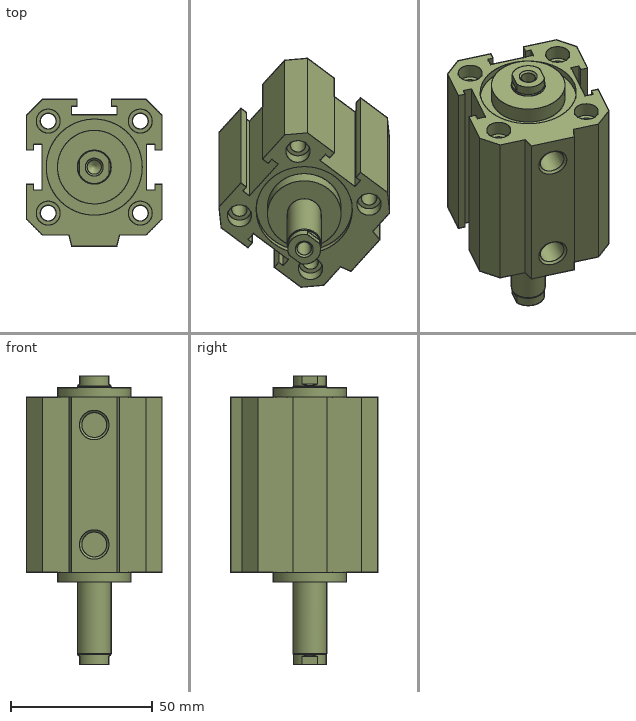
import cadquery as cq
import math

overall_length = 102.0
body_bottom = -18.5
body_length = 62.0
body_top = body_bottom + body_length
body_middle = body_bottom + body_length / 2

body_width = 48.0
corner_chamfer = 5.7
slot_mouth_width = 12.0
slot_inner_width = 16.0
slot_lip = 2.5
slot_depth = 5.5
rib_height = 4.0
rib_root_width = 18.0
rib_tip_width = 16.0

boss_diameter = 26.0
boss_height = 3.4
recess_diameter = 34.0
recess_depth = 2.7

mount_spacing = 32.5
mount_diameter = 5.5
counterbore_diameter = 8.5
counterbore_depth = 5.4

port_diameter = 8.8
port_mouth_diameter = 10.4
port_depth = 10.0
port_end_distance = 9.9

rod_diameter = 12.0
tip_diameter = 11.6
tip_length = 3.5
shoulder_length = 0.5
flat_width = 10.3
flat_length = 2.9
flat_runout_length = 0.5
screw_hole_diameter = 5.0
screw_mouth_diameter = 6.3
screw_hole_depth = 12.2
drill_point_angle = 118.0

half_width = body_width / 2


def make_profile():
    """Square with chamfered corners, extruded over the body length."""
    flat_end = half_width - corner_chamfer
    outline = [
        (flat_end, half_width),
        (half_width, flat_end),
        (half_width, -flat_end),
        (flat_end, -half_width),
        (-flat_end, -half_width),
        (-half_width, -flat_end),
        (-half_width, flat_end),
        (-flat_end, half_width),
    ]
    return cq.Workplane("XY", origin=(0, 0, body_bottom)).polyline(outline).close().extrude(body_length)


def make_rib():
    """Tapered rib along the -Y face."""
    tip_y = -half_width - rib_height
    outline = [
        (-rib_root_width / 2, -half_width),
        (-rib_tip_width / 2, tip_y),
        (rib_tip_width / 2, tip_y),
        (rib_root_width / 2, -half_width),
    ]
    return cq.Workplane("XY", origin=(0, 0, body_bottom)).polyline(outline).close().extrude(body_length)


def make_t_slot(angle):
    """T-slot cutter for the +X face, turned about Z by the given angle."""
    mouth = cq.Workplane("XY").box(slot_depth, slot_mouth_width, body_length)
    mouth = mouth.translate((half_width - slot_depth / 2, 0, body_middle))
    undercut_depth = slot_depth - slot_lip
    undercut = cq.Workplane("XY").box(undercut_depth, slot_inner_width, body_length)
    undercut = undercut.translate((half_width - slot_lip - undercut_depth / 2, 0, body_middle))
    return mouth.union(undercut).rotate((0, 0, 0), (0, 0, 1), angle)


def cylinder(diameter, bottom, top):
    return cq.Workplane("XY", origin=(0, 0, bottom)).circle(diameter / 2).extrude(top - bottom)


def make_mount_cutter():
    """Four through holes, counterbored from both ends."""
    def holes(diameter, bottom, top):
        plane = cq.Workplane("XY", origin=(0, 0, bottom)).rect(mount_spacing, mount_spacing, forConstruction=True)
        return plane.vertices().circle(diameter / 2).extrude(top - bottom)

    cutter = holes(mount_diameter, body_bottom, body_top)
    cutter = cutter.union(holes(counterbore_diameter, body_bottom, body_bottom + counterbore_depth))
    return cutter.union(holes(counterbore_diameter, body_top - counterbore_depth, body_top))


def make_port_cutter(z):
    """Blind flat-bottomed port with a 45 degree countersunk mouth, entering from -Y."""
    radius = port_diameter / 2
    mouth_radius = port_mouth_diameter / 2
    outline = [
        (0, 0),
        (mouth_radius, 0),
        (radius, mouth_radius - radius),
        (radius, port_depth),
        (0, port_depth),
    ]
    cutter = cq.Workplane("XY").polyline(outline).close().revolve(360, (0, 0), (0, 1))
    return cutter.translate((0, -half_width - rib_height, z))


def make_housing():
    housing = make_profile().union(make_rib())
    for angle in (0, 90, 180):
        housing = housing.cut(make_t_slot(angle))
    housing = housing.cut(make_mount_cutter())
    for z in (body_bottom + port_end_distance, body_top - port_end_distance):
        housing = housing.cut(make_port_cutter(z))
    housing = housing.cut(cylinder(recess_diameter, body_bottom, body_bottom + recess_depth))
    housing = housing.cut(cylinder(recess_diameter, body_top - recess_depth, body_top))
    boss = cylinder(boss_diameter, body_bottom - boss_height, body_top + boss_height)
    housing = housing.union(boss)
    bore = cylinder(rod_diameter, body_bottom - boss_height, body_top + boss_height)
    return housing.cut(bore)


def make_rod_blank():
    """Round rod with a reduced tip and a conical shoulder at each end."""
    end = overall_length / 2
    radius = rod_diameter / 2
    tip_radius = tip_diameter / 2
    tip_base = end - tip_length
    shoulder = tip_base - shoulder_length
    outline = [
        (0, end),
        (tip_radius, end),
        (tip_radius, tip_base),
        (radius, shoulder),
        (radius, -shoulder),
        (tip_radius, -tip_base),
        (tip_radius, -end),
        (0, -end),
    ]
    return cq.Workplane("XZ").polyline(outline).close().revolve(360, (0, 0), (0, 1))


def make_flat_cutter():
    """Cuts a wrench flat on the +X side of the top tip, with a sloped run-out."""
    end = overall_length / 2
    flat_x = flat_width / 2
    tip_radius = tip_diameter / 2
    outline = [
        (flat_x, end),
        (flat_x, end - flat_length),
        (tip_radius, end - flat_length - flat_runout_length),
        (tip_radius, end),
    ]
    return cq.Workplane("XZ").polyline(outline).close().extrude(tip_radius, both=True)


def make_screw_hole_cutter():
    """Countersunk blind hole with a drill point, entering the top end."""
    end = overall_length / 2
    radius = screw_hole_diameter / 2
    mouth_radius = screw_mouth_diameter / 2
    floor = end - screw_hole_depth
    point_length = radius / math.tan(math.radians(drill_point_angle / 2))
    outline = [
        (0, end),
        (mouth_radius, end),
        (radius, end - (mouth_radius - radius)),
        (radius, floor),
        (0, floor - point_length),
    ]
    return cq.Workplane("XZ").polyline(outline).close().revolve(360, (0, 0), (0, 1))


def make_rod():
    flat = make_flat_cutter()
    top_cutter = make_screw_hole_cutter().union(flat).union(flat.mirror("YZ"))
    return make_rod_blank().cut(top_cutter).cut(top_cutter.mirror("XY"))


housing = make_housing()
rod = make_rod()

result = cq.Compound.makeCompound([housing.val(), rod.val()])